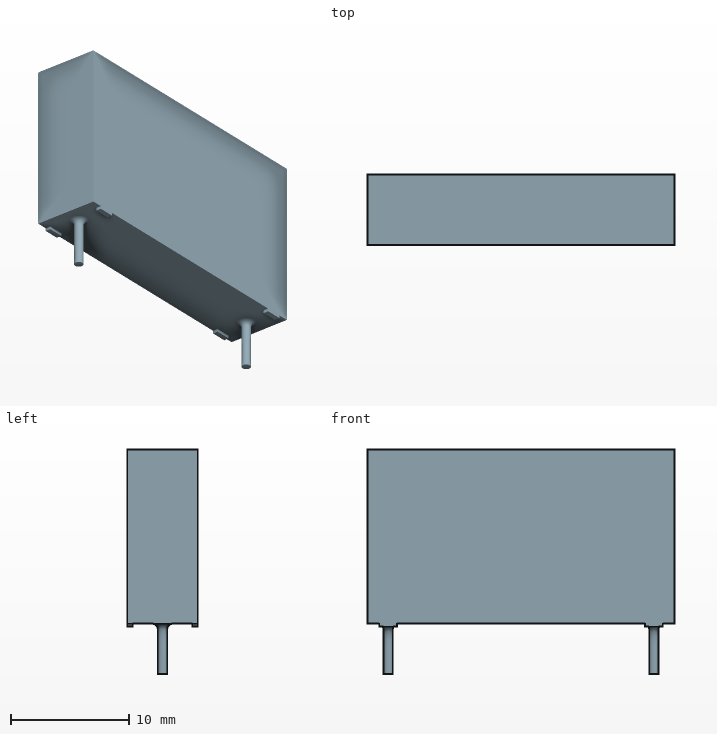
import cadquery as cq

case_length = 26.0
case_width = 6.0
total_height = 19.0

foot_length = 1.5
foot_width = 0.5
foot_height = 0.25

lead_diameter = 0.8
lead_pitch = 22.5
lead_below_feet = 4.0

collar_fillet = 0.5

lead_length = lead_below_feet + foot_height
case_height = total_height - lead_length
lead_radius = lead_diameter / 2


def make_case():
    """Plain box with its underside on Z = 0."""
    return cq.Workplane("XY").box(case_length, case_width, case_height, centered=(True, True, False))


def make_foot(x, side):
    """Standoff flush with the long face on the given Y side (-1 or +1)."""
    y = side * (case_width - foot_width) / 2
    return cq.Workplane("XY").center(x, y).rect(foot_length, foot_width).extrude(-foot_height)


def make_lead(x):
    """Lead and its fillet, revolved about the vertical axis of the lead."""
    profile = (
        cq.Workplane("XZ")
        .lineTo(lead_radius + collar_fillet, 0)
        .radiusArc((lead_radius, -collar_fillet), -collar_fillet)
        .lineTo(lead_radius, -lead_length)
        .lineTo(0, -lead_length)
        .close()
    )
    return profile.revolve(360, (0, 0, 0), (0, 1, 0)).translate((x, 0, 0))


result = make_case()
for lead_x in (-lead_pitch / 2, lead_pitch / 2):
    result = result.union(make_lead(lead_x))
    for foot_side in (-1, 1):
        result = result.union(make_foot(lead_x, foot_side))